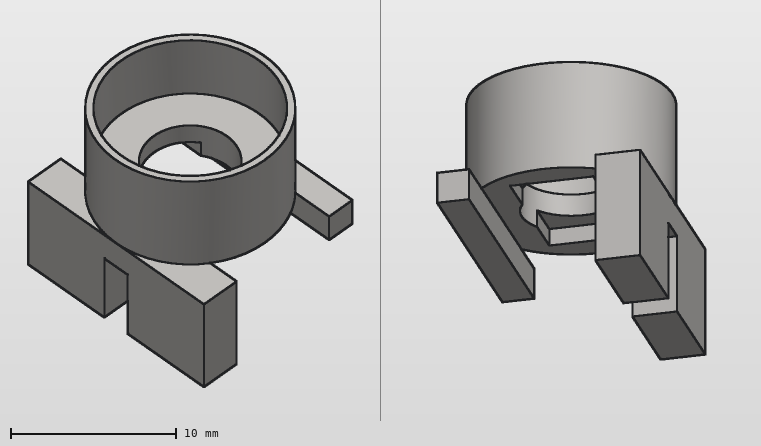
import cadquery as cq

cup_diameter = 12.7
bore_diameter = 11.7
hole_diameter = 6.2
cup_height = 7.0
floor_thickness = 2.5

pocket_length = 9.0
pocket_width = 5.2
pocket_depth = 1.1

mount_length = 15.0
plate_thickness = 2.8
plate_height = 6.99
bar_side = 2.0
slot_width = 2.0
slot_height = 5.0

cup_radius = cup_diameter / 2


def make_cup():
    """Open cup standing on Z = 0, with a central hole and an underside pocket in its floor."""
    cup = cq.Workplane("XY").circle(cup_radius).extrude(cup_height)
    bore = (
        cq.Workplane("XY")
        .workplane(offset=floor_thickness)
        .circle(bore_diameter / 2)
        .extrude(cup_height - floor_thickness)
    )
    hole = cq.Workplane("XY").circle(hole_diameter / 2).extrude(floor_thickness)
    pocket = (
        cq.Workplane("XY")
        .box(pocket_length, pocket_width, pocket_depth, centered=(True, True, False))
    )
    return cup.cut(bore).cut(hole).cut(pocket)


def make_plate():
    """Plate flush with the -Y side of the cup, slotted from its lower edge."""
    plate = (
        cq.Workplane("XY")
        .box(mount_length, plate_thickness, plate_height, centered=(True, False, False))
    )
    slot = (
        cq.Workplane("XY")
        .box(slot_width, plate_thickness, slot_height, centered=(True, False, False))
    )
    return plate.cut(slot).translate((0, -cup_radius, -plate_height))


def make_bar():
    """Square bar flush with the +Y side of the cup."""
    bar = (
        cq.Workplane("XY")
        .box(mount_length, bar_side, bar_side, centered=(True, False, False))
    )
    return bar.translate((0, cup_radius - bar_side, -bar_side))


result = make_cup().union(make_plate()).union(make_bar())